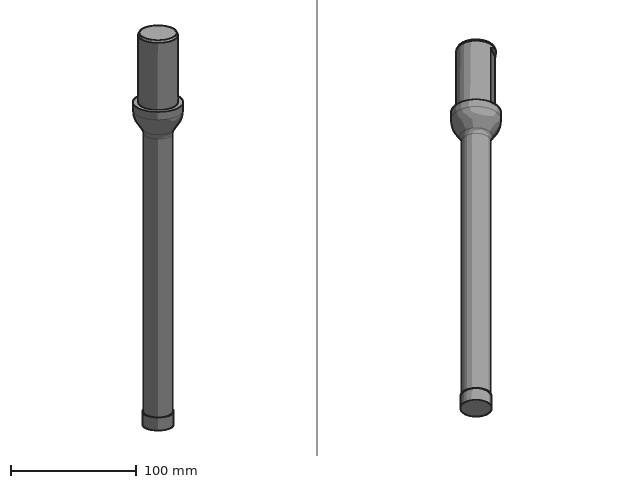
import cadquery as cq
import math

total_length = 343.0
point_height = 4.0
head_top = 15.5
collar_bottom = 276.5
collar_top = 283.0

head_diameter = 25.0
neck_diameter = 23.5
collar_diameter = 40.0
shank_diameter = 32.0

flare_bottom = 260.7
flare_angle = math.radians(35)
neck_arc_radius = 7.5

chamfer_width = 1.0
chamfer_height = 2.0
flat_depth = 2.0
flat_bottom = 285.5
flat_top = 340.0

head_radius = head_diameter / 2
neck_radius = neck_diameter / 2
collar_radius = collar_diameter / 2
shank_radius = shank_diameter / 2


def make_holder():
    """Revolved neck, flared collar and chamfered shank, with a clamping flat on the +Y side."""
    neck_center_r = neck_radius + neck_arc_radius
    neck_center_z = flare_bottom - neck_arc_radius * math.sin(flare_angle)
    flare_bottom_r = neck_center_r - neck_arc_radius * math.cos(flare_angle)
    neck_arc_middle = (
        neck_center_r - neck_arc_radius * math.cos(flare_angle / 2),
        neck_center_z + neck_arc_radius * math.sin(flare_angle / 2),
    )
    flare_ends = [(flare_bottom_r, flare_bottom), (collar_radius, collar_bottom)]
    flare_tangents = [(math.sin(flare_angle), math.cos(flare_angle)), (0, 1)]

    body = (
        cq.Workplane("XZ")
        .moveTo(0, head_top)
        .lineTo(neck_radius, head_top)
        .lineTo(neck_radius, neck_center_z)
        .threePointArc(neck_arc_middle, flare_ends[0])
        .spline(flare_ends[1:], tangents=flare_tangents, includeCurrent=True)
        .lineTo(collar_radius, collar_top)
        .lineTo(shank_radius, collar_top)
        .lineTo(shank_radius, total_length - chamfer_height)
        .lineTo(shank_radius - chamfer_width, total_length)
        .lineTo(0, total_length)
        .close()
        .revolve(360, (0, 0), (0, 1))
    )
    return body.cut(make_flat_cutter())


def make_flat_cutter():
    """Prism that cuts the shank flat, with ends sloped at 45 degrees."""
    flat_y = shank_radius - flat_depth
    return (
        cq.Workplane("YZ")
        .moveTo(shank_radius, flat_bottom)
        .lineTo(flat_y, flat_bottom + flat_depth)
        .lineTo(flat_y, flat_top - flat_depth)
        .lineTo(shank_radius, flat_top)
        .close()
        .extrude(shank_radius, both=True)
    )


def make_drill_head():
    """Cutting head below the neck: a short cylinder with a conical point."""
    return (
        cq.Workplane("XZ")
        .lineTo(head_radius, point_height)
        .lineTo(head_radius, head_top)
        .lineTo(0, head_top)
        .close()
        .revolve(360, (0, 0), (0, 1))
    )


holder = make_holder()
drill_head = make_drill_head()

result = cq.Compound.makeCompound([holder.val(), drill_head.val()])